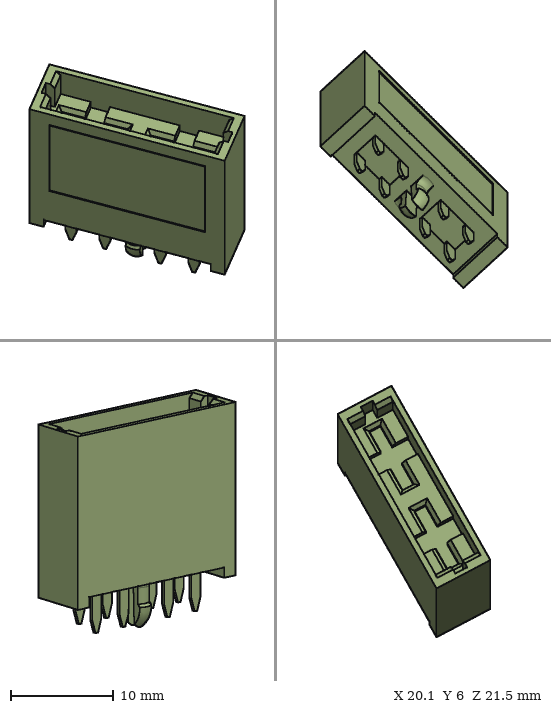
import cadquery as cq


width = 20.15
depth = 6.0
body_height = 16.47
foot_width = 1.46
foot_height = 1.05

long_wall = 0.6
end_wall = 1.38
mouth_chamfer = 0.47
cavity_depth = 3.33
key_width = 1.31
key_wall = 0.45
cavity_length = width - 2 * end_wall
cavity_width = depth - 2 * long_wall
cavity_floor = body_height - cavity_depth

way_spacing = 9.18
recess_depth = 0.85
slot_length = 7.63
slot_width = 2.06
slot_chamfer = 0.4
channel_width = 1.98

panel_width = 16.05
panel_height = 10.06
panel_top_gap = 1.72
panel_depth = 0.1

overall_height = 21.5
peg_length = overall_height - body_height
peg_width = 1.48
neck_radius = 1.25
neck_fillet = 0.82
barb_radius = 1.5
ledge_top = -2.5
ledge_bottom = -2.77
tip_radius = 0.5
split_top_width = 0.6
split_bottom_width = 0.92

tail_pitch = 3.48
tail_width = 1.16
tail_tip_width = 0.32
tail_taper = 1.38
tail_thickness = 0.35
row_spacing = 2.52
front_tail_length = 3.95
back_tail_length = 4.35
base_height = 1.08
base_length = tail_pitch + tail_width
base_width = row_spacing + tail_thickness

way_centers = [(-way_spacing / 2, 0), (way_spacing / 2, 0)]


def block(length, breadth, height, bottom):
    """Box centred on the Z axis, standing on the given height."""
    return cq.Workplane("XY").workplane(offset=bottom).rect(length, breadth).extrude(height)


def make_shell():
    """Outer block with a foot at each end."""
    shell = block(width, depth, body_height, 0)
    for side in (-1, 1):
        foot = block(foot_width, depth, foot_height, -foot_height)
        shell = shell.union(foot.translate((side * (width - foot_width) / 2, 0, 0)))
    return shell


def make_cavity():
    """Cavity with sloped end lead-ins and a full-depth key groove at each end."""
    half_length = cavity_length / 2
    half_mouth = half_length + mouth_chamfer
    chamfer_bottom = body_height - mouth_chamfer
    cavity = (
        cq.Workplane("XZ")
        .moveTo(-half_length, cavity_floor)
        .lineTo(half_length, cavity_floor)
        .lineTo(half_length, chamfer_bottom)
        .lineTo(half_mouth, body_height)
        .lineTo(-half_mouth, body_height)
        .lineTo(-half_length, chamfer_bottom)
        .close()
        .extrude(cavity_width / 2, both=True)
    )
    return cavity.union(block(width - 2 * key_wall, key_width, cavity_depth, cavity_floor))


def make_cross_recess():
    """Blade slot with a chamfered rim, crossed by a channel that shares its flat floor."""
    rim = (
        cq.Workplane("XY")
        .workplane(offset=cavity_floor)
        .rect(slot_length, slot_width)
        .workplane(offset=-slot_chamfer)
        .rect(slot_length - 2 * slot_chamfer, slot_width - 2 * slot_chamfer)
        .loft(ruled=True)
    )
    recess_floor = cavity_floor - recess_depth
    slot = block(slot_length - 2 * slot_chamfer, slot_width - 2 * slot_chamfer, recess_depth, recess_floor)
    channel = block(channel_width, cavity_width, recess_depth, recess_floor)
    return rim.union(slot).union(channel)


def make_panel():
    """Shallow rectangular recess in the front face."""
    panel_bottom = body_height - panel_top_gap - panel_height
    panel = block(panel_width, panel_depth, panel_height, panel_bottom)
    return panel.translate((0, (panel_depth - depth) / 2, 0))


def make_peg():
    """Turned barbed peg with flat sides, split along X by a widening slot."""
    nose_height = peg_length + ledge_bottom
    nose_inset = barb_radius - tip_radius
    nose_radius = (nose_inset**2 + nose_height**2) / (2 * nose_inset)
    turned = (
        cq.Workplane("XZ")
        .moveTo(0, 0)
        .lineTo(neck_radius + neck_fillet, 0)
        .radiusArc((neck_radius, -neck_fillet), -neck_fillet)
        .lineTo(neck_radius, ledge_top)
        .lineTo(barb_radius, ledge_bottom)
        .radiusArc((tip_radius, -peg_length), nose_radius)
        .lineTo(0, -peg_length)
        .close()
        .revolve(360, (0, 0, 0), (0, 1, 0))
    )
    split = (
        cq.Workplane("YZ")
        .moveTo(-split_top_width / 2, 0)
        .lineTo(split_top_width / 2, 0)
        .lineTo(split_bottom_width / 2, -peg_length)
        .lineTo(-split_bottom_width / 2, -peg_length)
        .close()
        .extrude(peg_width, both=True)
    )
    flats = block(peg_width, depth, peg_length, -peg_length)
    return turned.intersect(flats).cut(split)


def make_contact_base():
    """Block that carries the tails, flush with the housing underside."""
    return block(base_length, base_width, base_height, 0)


def make_housing():
    housing = make_shell().cut(make_cavity()).cut(make_panel())
    for x, y in way_centers:
        housing = housing.cut(make_cross_recess().translate((x, y, 0)))
        housing = housing.cut(make_contact_base().translate((x, y, 0)))
    return housing.union(make_peg())


def make_tail(length):
    """Flat solder tail hanging from Z = 0, with a tapered end."""
    taper_start = tail_taper - length
    return (
        cq.Workplane("XZ")
        .moveTo(-tail_width / 2, 0)
        .lineTo(tail_width / 2, 0)
        .lineTo(tail_width / 2, taper_start)
        .lineTo(tail_tip_width / 2, -length)
        .lineTo(-tail_tip_width / 2, -length)
        .lineTo(-tail_width / 2, taper_start)
        .close()
        .extrude(tail_thickness / 2, both=True)
    )


def make_contact(center):
    """Contact with two short tails in front and two longer ones behind."""
    contact = make_contact_base()
    for row, length in ((-1, front_tail_length), (1, back_tail_length)):
        for side in (-1, 1):
            tail = make_tail(length)
            contact = contact.union(tail.translate((side * tail_pitch / 2, row * row_spacing / 2, 0)))
    return contact.translate((center[0], center[1], 0))


housing = make_housing()
contacts = [make_contact(center) for center in way_centers]

result = cq.Compound.makeCompound([body.solids().val() for body in (housing, *contacts)])